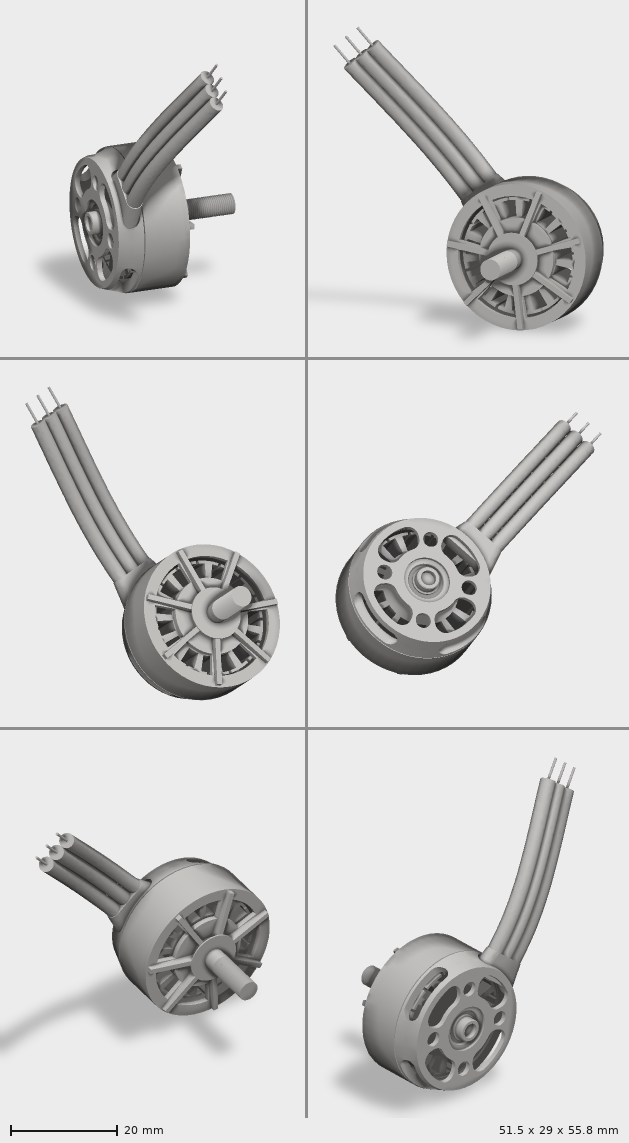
import cadquery as cq
import math


motor_radius = 14.0
cavity_radius = 24.0 / 2

face_radius = 12.5
floor_thickness = 1.0
base_top = 4.6
base_turn = 40.0
quarter_count = 4
window_inner_radius = 6.5
window_outer_radius = 11.1
window_half_angle = 29.5
window_corner_radius = 2.0
mount_hole_diameter = 2.95
mount_hole_circle_radius = 8.3
wall_slot_length = 11.95
wall_slot_height = 3.1

housing_radius = 4.1
housing_top = 2.55
tube_radius = 2.35
seat_diameter = 9.0
seat_depth = 0.65
race_outer_diameter = 7.0
race_chamfer = 0.2
race_inner_diameter = 5.2
race_groove_depth = 0.4

stator_bottom = 4.2
stator_top = 12.25
stator_hub_radius = 7.45
stator_radius = 11.25
tooth_count = 15
first_tooth_angle = 18.0
tooth_half_angle = 4.0
tooth_root_overlap = 0.55
tooth_tip_inner_radius = 10.7
tooth_tip_half_angle = 10.5

ring_bottom = 4.85
plate_bottom = 12.9
plate_top = 13.9
spoke_count = 7
first_spoke_angle = 8.0
spoke_half_angle = 4.5
opening_inner_radius = 7.45
opening_outer_radius = 11.7
fin_width = 1.0
fin_radius = 13.65
fin_outer_top = 14.95
cap_bottom = 15.65
cap_top = 15.95
cap_radius = 5.0
hub_diameter = 7.0

shaft_diameter = 4.0
shaft_front = 27.9
shaft_back = -1.1
thread_start = 18.6
thread_root_diameter = 3.5
thread_turns = 24
collar_diameter = 4.45
collar_chamfer = 0.15
collar_bore_diameter = 2.95
collar_bore_depth = 1.1

wire_angle = 51.2
wire_count = 3
wire_diameter = 2.95
wire_pitch = 2.95
wire_offset = 2.35
wire_bend_angle = 19.4
wire_bend_vertex = 24.6
wire_end = 48.5
strand_diameter = 0.5
strand_angle = 11.0
strand_end = 52.9
boot_back = 10.2
boot_front = 15.55
boot_back_width = 11.8
boot_front_width = 9.15

slot_middle = floor_thickness + wall_slot_height / 2


def turned(profile):
    """Revolve a closed (radius, y) profile about the motor axis."""
    return cq.Workplane("XY").polyline(profile).close().revolve(360, (0, 0, 0), (0, 1, 0))


def turn(body, angle):
    """Turn a body about the motor axis."""
    return body.rotate((0, 0, 0), (0, -1, 0), angle)


def disc(radius, bottom, top):
    """Solid cylinder on the motor axis between two Y levels."""
    return cq.Workplane("XZ", origin=(0, top, 0)).circle(radius).extrude(top - bottom)


def sector(inner, outer, half_angle, bottom, top):
    """Piece of a ring, centred on +X, between two Y levels."""
    c = math.cos(math.radians(half_angle))
    s = math.sin(math.radians(half_angle))
    return (
        cq.Workplane("XZ", origin=(0, top, 0))
        .moveTo(inner * c, -inner * s)
        .lineTo(outer * c, -outer * s)
        .threePointArc((outer, 0), (outer * c, outer * s))
        .lineTo(inner * c, inner * s)
        .threePointArc((inner, 0), (inner * c, -inner * s))
        .close()
        .extrude(top - bottom)
    )


def base_cup():
    cup = turned([
        (0, 0),
        (face_radius, 0),
        (motor_radius, base_top),
        (cavity_radius, base_top),
        (cavity_radius, floor_thickness),
        (0, floor_thickness),
    ])
    window = sector(
        window_inner_radius, window_outer_radius, window_half_angle, 0, floor_thickness
    ).edges("|Y").fillet(window_corner_radius)
    mount_hole = disc(mount_hole_diameter / 2, 0, floor_thickness)
    mount_hole = mount_hole.translate((mount_hole_circle_radius, 0, 0))
    wall_slot = (
        cq.Workplane("YZ", origin=(face_radius / 2, slot_middle, 0))
        .slot2D(wall_slot_length, wall_slot_height, 90)
        .extrude(motor_radius)
    )
    quarter_turn = 360 / quarter_count
    for i in range(quarter_count):
        angle = base_turn + i * quarter_turn
        cup = cup.cut(turn(window, angle))
        cup = cup.cut(turn(mount_hole, angle + quarter_turn / 2))
        cup = cup.cut(turn(wall_slot, angle))
    return cup


def make_boot():
    """Tapered block with rounded sides that fills one wall slot."""
    boot = (
        cq.Workplane("YZ", origin=(boot_back, slot_middle, -wire_offset))
        .slot2D(boot_back_width, wall_slot_height, 90)
        .workplane(offset=boot_front - boot_back)
        .slot2D(boot_front_width, wall_slot_height, 90)
        .loft(ruled=True)
    )
    return turn(boot, wire_angle)


def bearing_cut():
    """Stepped recess for the bearing, with a groove between its two races."""
    race_face = seat_depth
    groove_face = seat_depth + race_groove_depth
    return turned([
        (0, 0),
        (seat_diameter / 2, 0),
        (seat_diameter / 2, race_face),
        (race_outer_diameter / 2, race_face),
        (race_outer_diameter / 2 - race_chamfer, groove_face),
        (race_inner_diameter / 2, groove_face),
        (race_inner_diameter / 2, race_face),
        (shaft_diameter / 2, race_face),
        (shaft_diameter / 2, stator_top),
        (0, stator_top),
    ])


def make_stator():
    core = disc(stator_hub_radius, stator_bottom, stator_top)
    arm = sector(
        stator_hub_radius - tooth_root_overlap, stator_radius, tooth_half_angle,
        stator_bottom, stator_top,
    )
    tip = sector(
        tooth_tip_inner_radius, stator_radius, tooth_tip_half_angle, stator_bottom, stator_top
    )
    tooth = arm.union(tip)
    for i in range(tooth_count):
        core = core.union(turn(tooth, first_tooth_angle + i * 360 / tooth_count))
    return core


def make_base():
    housing = disc(housing_radius, 0, housing_top)
    tube = disc(tube_radius, 0, stator_bottom)
    solid = base_cup().union(make_boot()).union(housing).union(tube).union(make_stator())
    return solid.cut(bearing_cut())


def make_flux_ring():
    return disc(motor_radius, ring_bottom, plate_bottom).cut(
        disc(cavity_radius, ring_bottom, plate_bottom)
    )


def make_end_plate():
    hub_radius = hub_diameter / 2
    plate = turned([
        (0, plate_bottom),
        (motor_radius, plate_bottom),
        (motor_radius, plate_top),
        (hub_radius, plate_top),
        (hub_radius, cap_bottom),
        (cap_radius, cap_bottom),
        (cap_radius, cap_top),
        (0, cap_top),
    ])
    opening = sector(
        opening_inner_radius, opening_outer_radius, 180 / spoke_count - spoke_half_angle,
        plate_bottom, plate_top,
    )
    fin = (
        cq.Workplane("XY", origin=(0, 0, -fin_width / 2))
        .polyline([
            (0, plate_top),
            (fin_radius, plate_top),
            (fin_radius, fin_outer_top),
            (cap_radius, cap_bottom),
            (0, cap_bottom),
        ])
        .close().extrude(fin_width)
    )
    for i in range(spoke_count):
        angle = first_spoke_angle + i * 360 / spoke_count
        plate = plate.union(turn(fin, angle))
        plate = plate.cut(turn(opening, angle + 180 / spoke_count))
    return plate


def make_shaft():
    radius = shaft_diameter / 2
    root = thread_root_diameter / 2
    collar = collar_diameter / 2
    pitch = (shaft_front - thread_start) / thread_turns
    profile = [
        (0, shaft_back + collar_bore_depth),
        (collar_bore_diameter / 2, shaft_back + collar_bore_depth),
        (collar_bore_diameter / 2, shaft_back),
        (collar - collar_chamfer, shaft_back),
        (collar, shaft_back + collar_chamfer),
        (collar, seat_depth),
        (radius, seat_depth),
        (radius, thread_start),
    ]
    for i in range(thread_turns):
        profile.append((root, thread_start + (i + 0.5) * pitch))
        profile.append((radius, thread_start + (i + 1) * pitch))
    profile.append((0, shaft_front))
    return turned(profile)


def make_rotor():
    return make_end_plate().union(make_shaft())


def make_wire(offset):
    """Insulated wire with its bare strand; built along +X, then turned to the wire angle."""
    bend = math.radians(wire_bend_angle)
    run_before_bend = wire_bend_vertex - boot_front
    bend_end = (
        wire_bend_vertex + run_before_bend * math.cos(bend),
        slot_middle + run_before_bend * math.sin(bend),
    )
    end_y = slot_middle + (wire_end - wire_bend_vertex) * math.tan(bend)
    path = cq.Workplane("XY").spline(
        [(boot_front, slot_middle), bend_end, (wire_end, end_y)],
        tangents=[(1, 0), (math.cos(bend), math.sin(bend))],
    )
    insulation = (
        cq.Workplane("YZ", origin=(boot_front, slot_middle, 0))
        .circle(wire_diameter / 2).sweep(path)
    )
    slope = math.radians(strand_angle)
    buried = wire_diameter / 4
    strand = cq.Workplane(cq.Solid.makeCylinder(
        strand_diameter / 2,
        (strand_end - wire_end) / math.cos(slope) + buried,
        cq.Vector(wire_end - buried, end_y - buried * math.tan(slope), 0),
        cq.Vector(math.cos(slope), math.sin(slope), 0),
    ))
    return turn(insulation.union(strand).translate((0, 0, -offset)), wire_angle)


base = make_base()
flux_ring = make_flux_ring()
rotor = make_rotor()
wires = [
    make_wire(wire_offset + (i - (wire_count - 1) / 2) * wire_pitch) for i in range(wire_count)
]

result = cq.Compound.makeCompound([
    base.val(),
    flux_ring.val(),
    rotor.val(),
    *[wire.val() for wire in wires],
])